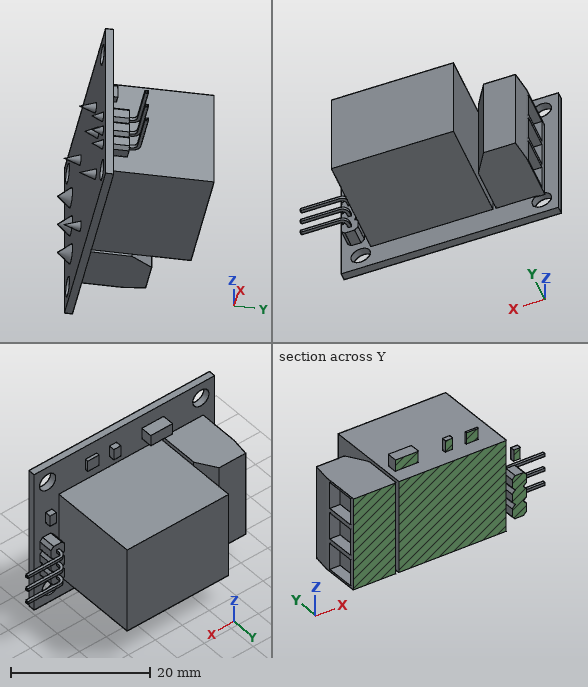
import cadquery as cq


OVERALL_LENGTH = 38.25

BOARD_LENGTH = 33.55
BOARD_HEIGHT = 26.2
BOARD_THICKNESS = 1.2
MOUNTING_HOLE_DIAMETER = 3.0
MOUNTING_HOLES = [(2.55, 2.85), (30.52, 2.85), (2.55, 23.35), (31.02, 23.35)]

RELAY_LEFT = 10.1
RELAY_LENGTH = 18.85
RELAY_BACK = 16.68
BLOCK_BOTTOM = 4.15
BLOCK_HEIGHT = 15.7
BLOCK_MID_HEIGHT = BLOCK_BOTTOM + BLOCK_HEIGHT / 2

TERMINAL_LEFT = 2.15
TERMINAL_RIGHT = 9.6
TERMINAL_BACK = 11.4
TERMINAL_SHOULDER = 8.15
TERMINAL_LEFT_SETBACK = 0.45
TERMINAL_RIGHT_SETBACK = 2.05
TERMINAL_COUNT = 3
WIRE_POCKET_HEIGHT = 4.48
WIRE_POCKET_PITCH = 5.25
WIRE_POCKET_FRONT = 2.18
WIRE_POCKET_BACK = 7.4
WIRE_POCKET_DEPTH = 1.85

PIN_COUNT = 3
PIN_PITCH = 2.5
PIN_X = 31.2
PIN_MID_HEIGHT = 9.45
PIN_WIDTH = 0.5
PIN_AXIS_Y = 5.15
PIN_BEND_RADIUS = 0.95
PIN_TIP_CHAMFER = 0.1
HEADER_WIDTH = 2.55
HEADER_BACK = 3.7
HEADER_CHAMFER = 0.55

ROW_BOTTOM = 21.75
SIDE_BOTTOM = 15.7
SMALL_COMPONENTS = [
    (9.5, ROW_BOTTOM, 4.05, 2.03),
    (18.25, ROW_BOTTOM, 1.3, 1.0),
    (21.9, ROW_BOTTOM, 2.1, 0.55),
    (30.2, SIDE_BOTTOM, 1.2, 1.0),
]
SMALL_COMPONENT_HEIGHT = 2.0

TERMINAL_JOINT = (3.0, 1.95)
COIL_JOINT = (1.53, 2.35)
COMMON_JOINT = (1.72, 1.87)
HEADER_JOINT = (1.38, 1.53)
TERMINAL_JOINT_X = 5.1
TERMINAL_JOINT_PITCH = 5.1
COIL_JOINT_COLUMNS = (12.9, 25.4)
COIL_JOINT_ROWS = 2
COIL_JOINT_SPACING = 12.0
COMMON_JOINT_X = 27.4

OVERLAP = 0.2


def box(x, y, z, length, depth, height):
    """Box given by its lowest corner and its sizes along X, Y and Z."""
    return cq.Workplane("XY").box(length, depth, height, centered=False).translate((x, y, z))


def mounted_box(x, z, length, back, height):
    """Box standing on the component side of the board and ending at Y = back."""
    front = BOARD_THICKNESS - OVERLAP
    return box(x, front, z, length, back - front, height)


def row(count, pitch, middle):
    """Evenly spaced positions around a middle value."""
    return [middle + pitch * (i - (count - 1) / 2) for i in range(count)]


def make_board():
    board = box(0, 0, 0, BOARD_LENGTH, BOARD_THICKNESS, BOARD_HEIGHT)
    holes = (
        cq.Workplane("XZ")
        .pushPoints(MOUNTING_HOLES)
        .circle(MOUNTING_HOLE_DIAMETER / 2)
        .extrude(-BOARD_THICKNESS)
    )
    return board.cut(holes)


def make_terminal_block():
    front = BOARD_THICKNESS - OVERLAP
    block = (
        cq.Workplane("XY", origin=(0, 0, BLOCK_BOTTOM))
        .moveTo(TERMINAL_LEFT, front)
        .lineTo(TERMINAL_RIGHT, front)
        .lineTo(TERMINAL_RIGHT, TERMINAL_SHOULDER)
        .lineTo(TERMINAL_RIGHT - TERMINAL_RIGHT_SETBACK, TERMINAL_BACK)
        .lineTo(TERMINAL_LEFT + TERMINAL_LEFT_SETBACK, TERMINAL_BACK)
        .lineTo(TERMINAL_LEFT, TERMINAL_SHOULDER)
        .close()
        .extrude(BLOCK_HEIGHT)
    )
    for middle in row(TERMINAL_COUNT, WIRE_POCKET_PITCH, BLOCK_MID_HEIGHT):
        pocket = box(
            TERMINAL_LEFT,
            WIRE_POCKET_FRONT,
            middle - WIRE_POCKET_HEIGHT / 2,
            WIRE_POCKET_DEPTH,
            WIRE_POCKET_BACK - WIRE_POCKET_FRONT,
            WIRE_POCKET_HEIGHT,
        )
        block = block.cut(pocket)
    return block


def make_header_cell(z):
    """One eight-sided cell of the header housing with its bent pin."""
    left = PIN_X - HEADER_WIDTH / 2
    cell = mounted_box(left, z - PIN_PITCH / 2, HEADER_WIDTH, HEADER_BACK, PIN_PITCH)
    cell = cell.edges("|Y").chamfer(HEADER_CHAMFER)

    path = (
        cq.Workplane("XY", origin=(0, 0, z))
        .moveTo(PIN_X, BOARD_THICKNESS)
        .lineTo(PIN_X, PIN_AXIS_Y - PIN_BEND_RADIUS)
        .radiusArc((PIN_X + PIN_BEND_RADIUS, PIN_AXIS_Y), PIN_BEND_RADIUS)
        .lineTo(OVERALL_LENGTH, PIN_AXIS_Y)
    )
    pin = (
        cq.Workplane("XZ", origin=(PIN_X, BOARD_THICKNESS, z))
        .rect(PIN_WIDTH, PIN_WIDTH)
        .sweep(path)
        .faces(">X")
        .chamfer(PIN_TIP_CHAMFER)
    )
    return cell.union(pin)


def make_solder_joint(x, z, size):
    """Cone on the solder side of the board, pointing along -Y."""
    diameter, length = size
    cone = cq.Solid.makeCone(diameter / 2, 0, length, cq.Vector(x, 0, z), cq.Vector(0, -1, 0))
    return cq.Workplane("XY").add(cone)


pin_heights = row(PIN_COUNT, PIN_PITCH, PIN_MID_HEIGHT)

result = make_board()
result = result.union(
    mounted_box(RELAY_LEFT, BLOCK_BOTTOM, RELAY_LENGTH, RELAY_BACK, BLOCK_HEIGHT)
)
result = result.union(make_terminal_block())

for left, bottom, length, rise in SMALL_COMPONENTS:
    back = BOARD_THICKNESS + rise
    component = mounted_box(left, bottom, length, back, SMALL_COMPONENT_HEIGHT)
    result = result.union(component)

for z in pin_heights:
    result = result.union(make_header_cell(z))
    result = result.union(make_solder_joint(PIN_X, z, HEADER_JOINT))

for z in row(TERMINAL_COUNT, TERMINAL_JOINT_PITCH, BLOCK_MID_HEIGHT):
    result = result.union(make_solder_joint(TERMINAL_JOINT_X, z, TERMINAL_JOINT))

for z in row(COIL_JOINT_ROWS, COIL_JOINT_SPACING, BLOCK_MID_HEIGHT):
    for x in COIL_JOINT_COLUMNS:
        result = result.union(make_solder_joint(x, z, COIL_JOINT))

result = result.union(make_solder_joint(COMMON_JOINT_X, BLOCK_MID_HEIGHT, COMMON_JOINT))